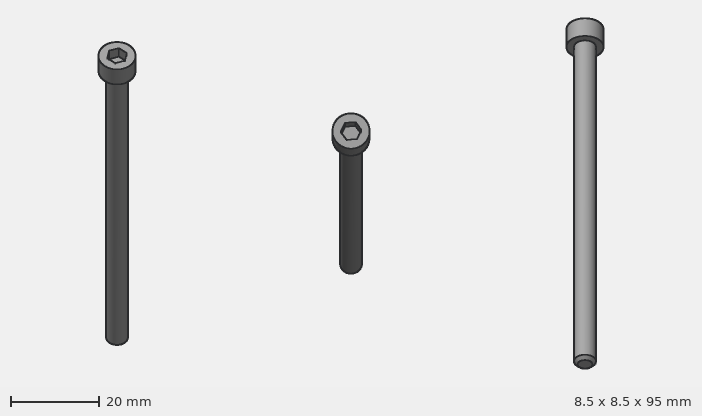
import cadquery as cq
import math

total_length = 95.0
head_diameter = 8.5
head_height = 5.0
shank_diameter = 5.0
tip_chamfer = 0.9
socket_across_flats = 4.1
socket_depth = 2.85

shank_length = total_length - head_height
socket_across_corners = socket_across_flats / math.cos(math.pi / 6)


def make_shank():
    """Cylindrical shank with a chamfered tip."""
    shank = cq.Workplane("XY").circle(shank_diameter / 2).extrude(shank_length)
    return shank.faces("<Z").chamfer(tip_chamfer)


def make_head():
    """Plain cylindrical head above the shank."""
    return cq.Workplane("XY").workplane(offset=shank_length).circle(head_diameter / 2).extrude(head_height)


def make_socket():
    """Hexagonal drive recess with corners on the X axis."""
    top = cq.Workplane("XY").workplane(offset=total_length)
    return top.polygon(6, socket_across_corners).extrude(-socket_depth)


result = make_shank().union(make_head()).cut(make_socket())